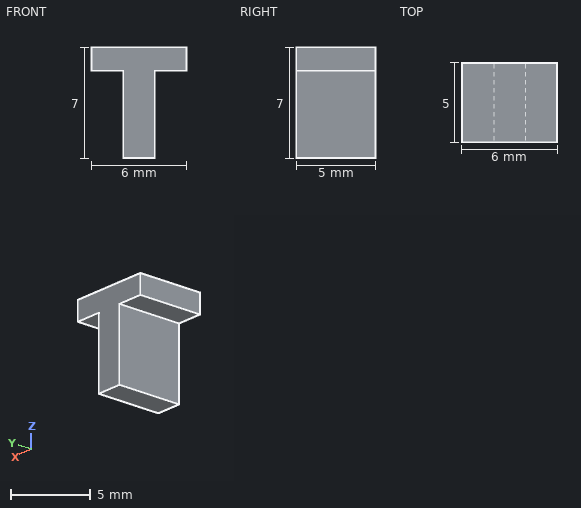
import cadquery as cq

height = 7.0
flange_width = 6.0
depth = 5.0
flange_thickness = 1.5
stem_width = flange_width / 3
stem_height = height - flange_thickness

stem = cq.Workplane("XY").box(stem_width, depth, stem_height, centered=(True, True, False))

flange = (
    cq.Workplane("XY")
    .workplane(offset=stem_height)
    .box(flange_width, depth, flange_thickness, centered=(True, True, False))
)

result = stem.union(flange).clean()